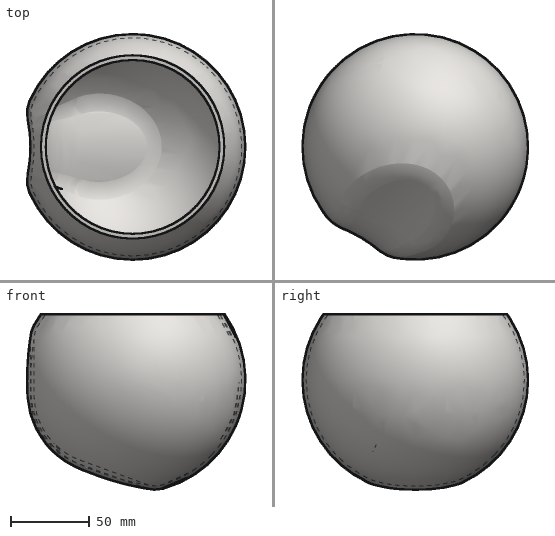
import cadquery as cq
import math

sphere_radius = 72.3
wall = 2.5
rim_height = 42.2

groove_x = -65.5
bend_start_z = -9.4
bend_radius = 47.0
bend_angle = math.radians(70.0)
floor_radius = 89.7
edge_rounding = 18.1

tool_half_width = 50.6
tool_depth = 36.2
tool_reach = 101.3


def groove_tool(inset):
    """Cutter whose hollow-groove floor lies `inset` deeper than the outer groove."""
    floor_x = groove_x + inset
    radius = bend_radius - inset
    cross_radius = floor_radius + inset
    sag = cross_radius - math.sqrt(cross_radius**2 - tool_half_width**2)
    bend_centre_x = floor_x + radius
    middle = bend_angle / 2

    bend_middle = (
        bend_centre_x - radius * math.cos(middle),
        bend_start_z - radius * math.sin(middle),
    )
    bend_end = (
        bend_centre_x - radius * math.cos(bend_angle),
        bend_start_z - radius * math.sin(bend_angle),
    )
    path_end = (
        bend_end[0] + tool_reach * math.sin(bend_angle),
        bend_end[1] - tool_reach * math.cos(bend_angle),
    )
    path = (
        cq.Workplane("XZ")
        .moveTo(floor_x, tool_reach)
        .lineTo(floor_x, bend_start_z)
        .threePointArc(bend_middle, bend_end)
        .lineTo(*path_end)
    )
    section = (
        cq.Workplane("XY", origin=(0, 0, tool_reach))
        .moveTo(floor_x - sag, -tool_half_width)
        .threePointArc((floor_x, 0), (floor_x - sag, tool_half_width))
        .lineTo(floor_x - tool_depth, tool_half_width)
        .lineTo(floor_x - tool_depth, -tool_half_width)
        .close()
    )
    return section.sweep(path)


def grooved_ball(inset):
    """Sphere with the rounded-edge groove, all surfaces moved inward by `inset`."""
    ball = cq.Workplane("XY").sphere(sphere_radius - inset, direct=(0, 1, 0))
    grooved = ball.cut(groove_tool(inset))
    groove_outline = grooved.faces("%SPHERE").edges()
    return grooved.newObject(groove_outline.vals()).fillet(edge_rounding - inset)


shell = grooved_ball(0).cut(grooved_ball(wall))
above_rim = (
    cq.Workplane("XY", origin=(0, 0, rim_height))
    .circle(sphere_radius)
    .extrude(sphere_radius)
)
result = shell.cut(above_rim)